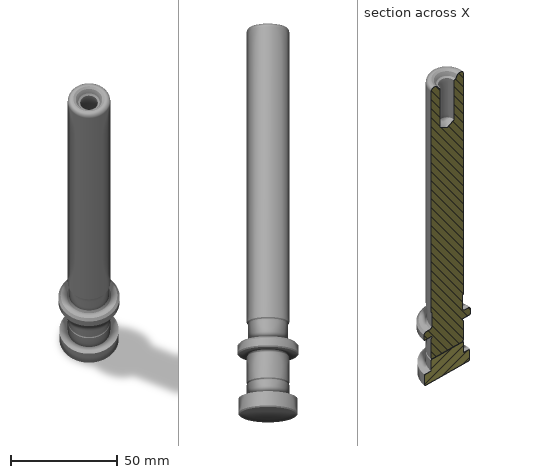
import cadquery as cq
import math

TOTAL_HEIGHT = 189.0

HEAD_RADIUS = 14.0
HEAD_HEIGHT = 7.5
HEAD_CHAMFER = 0.5

SHAFT_RADIUS = 10.0
JOINT_HEIGHT = 15.0
JOINT_CHAMFER = 0.5
TIP_RADIUS = 1.9

COLLAR_DIAMETER = 29.0
COLLAR_RADIUS = COLLAR_DIAMETER / 2
COLLAR_BOTTOM = 29.3
COLLAR_TOP = 34.5
COLLAR_TOP_CHAMFER = 1.1
COLLAR_BOTTOM_CHAMFER = 0.5
NECK_RADIUS = 9.5
NECK_FLARE = 1.0
UPPER_NECK_TOP = 44.5
LOWER_NECK_BOTTOM = 28.2
NECK_STEP = SHAFT_RADIUS - NECK_RADIUS

MOUTH_RADIUS = 7.4
LEAD_RADIUS = 6.2
LEAD_HALF_ANGLE = math.radians(60)
CONE_END_RADIUS = 5.1
BORE_RADIUS = 4.2
BORE_DEPTH = 28.4
CENTER_HALF_ANGLE = math.radians(30)
DRILL_HALF_ANGLE = math.radians(59)


def revolve_profile(profile):
    """Turn a closed radius-height outline about the Z axis."""
    return profile.close().revolve(360, (0, 0, 0), (0, 1, 0))


def make_plug():
    """Headed plug below the pin."""
    profile = (
        cq.Workplane("XZ")
        .lineTo(HEAD_RADIUS - HEAD_CHAMFER, 0)
        .lineTo(HEAD_RADIUS, HEAD_CHAMFER)
        .lineTo(HEAD_RADIUS, HEAD_HEIGHT)
        .lineTo(SHAFT_RADIUS, HEAD_HEIGHT)
        .lineTo(SHAFT_RADIUS, JOINT_HEIGHT - JOINT_CHAMFER)
        .lineTo(SHAFT_RADIUS - JOINT_CHAMFER, JOINT_HEIGHT)
        .lineTo(0, JOINT_HEIGHT)
    )
    return revolve_profile(profile)


def make_pin_blank():
    """Solid collared pin with its necks and rounded tip."""
    profile = (
        cq.Workplane("XZ")
        .moveTo(0, JOINT_HEIGHT)
        .lineTo(SHAFT_RADIUS - JOINT_CHAMFER, JOINT_HEIGHT)
        .lineTo(SHAFT_RADIUS, JOINT_HEIGHT + JOINT_CHAMFER)
        .lineTo(SHAFT_RADIUS, LOWER_NECK_BOTTOM)
        .lineTo(NECK_RADIUS, LOWER_NECK_BOTTOM + NECK_STEP)
        .lineTo(NECK_RADIUS, COLLAR_BOTTOM)
        .lineTo(COLLAR_RADIUS - COLLAR_BOTTOM_CHAMFER, COLLAR_BOTTOM)
        .lineTo(COLLAR_RADIUS, COLLAR_BOTTOM + COLLAR_BOTTOM_CHAMFER)
        .lineTo(COLLAR_RADIUS, COLLAR_TOP - COLLAR_TOP_CHAMFER)
        .lineTo(COLLAR_RADIUS - COLLAR_TOP_CHAMFER, COLLAR_TOP)
        .lineTo(NECK_RADIUS + NECK_FLARE, COLLAR_TOP)
        .lineTo(NECK_RADIUS, COLLAR_TOP + NECK_FLARE)
        .lineTo(NECK_RADIUS, UPPER_NECK_TOP)
        .lineTo(SHAFT_RADIUS, UPPER_NECK_TOP + NECK_STEP)
        .lineTo(SHAFT_RADIUS, TOTAL_HEIGHT - TIP_RADIUS)
        .radiusArc((SHAFT_RADIUS - TIP_RADIUS, TOTAL_HEIGHT), -TIP_RADIUS)
        .lineTo(0, TOTAL_HEIGHT)
    )
    return revolve_profile(profile)


def make_tip_hole():
    """Beveled center hole narrowing through a steep cone to a drilled bore."""
    lead_depth = (MOUTH_RADIUS - LEAD_RADIUS) / math.tan(LEAD_HALF_ANGLE)
    cone_depth = (LEAD_RADIUS - CONE_END_RADIUS) / math.tan(CENTER_HALF_ANGLE)
    step_depth = (CONE_END_RADIUS - BORE_RADIUS) / math.tan(DRILL_HALF_ANGLE)
    point_depth = BORE_RADIUS / math.tan(DRILL_HALF_ANGLE)
    lead_height = TOTAL_HEIGHT - lead_depth
    cone_end_height = lead_height - cone_depth
    bore_bottom = TOTAL_HEIGHT - BORE_DEPTH
    profile = (
        cq.Workplane("XZ")
        .moveTo(0, TOTAL_HEIGHT)
        .lineTo(MOUTH_RADIUS, TOTAL_HEIGHT)
        .lineTo(LEAD_RADIUS, lead_height)
        .lineTo(CONE_END_RADIUS, cone_end_height)
        .lineTo(BORE_RADIUS, cone_end_height - step_depth)
        .lineTo(BORE_RADIUS, bore_bottom)
        .lineTo(0, bore_bottom - point_depth)
    )
    return revolve_profile(profile)


plug = make_plug()
pin = make_pin_blank().cut(make_tip_hole())

result = cq.Compound.makeCompound([plug.val(), pin.val()])